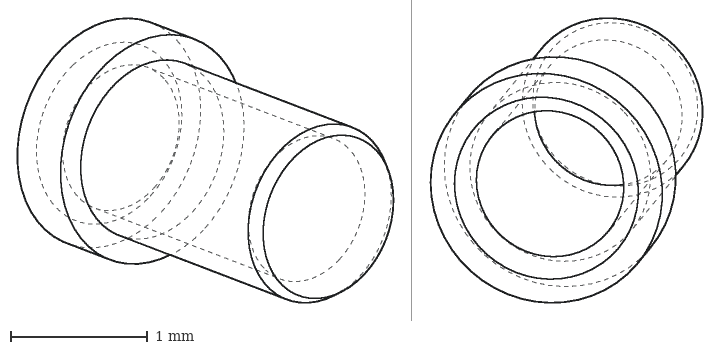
import cadquery as cq
import math

length = 2.54
head_diameter = 1.73
head_length = 0.5
shank_diameter = 1.35

tip_taper_length = 0.102
tip_taper_angle = 30.0

bore_diameter = 1.1
mouth_diameter = 1.372
floor_thickness = 0.255

head_radius = head_diameter / 2
shank_radius = shank_diameter / 2
bore_radius = bore_diameter / 2
mouth_radius = mouth_diameter / 2
tip_radius = shank_radius - tip_taper_length * math.tan(math.radians(tip_taper_angle))
bore_end = length - floor_thickness
mouth_depth = mouth_radius - bore_radius


def make_sleeve():
    """Headed sleeve with a conical mouth and a closed, tapered tip."""
    half_profile = (
        cq.Workplane("XY")
        .moveTo(0, mouth_radius)
        .lineTo(0, head_radius)
        .lineTo(head_length, head_radius)
        .lineTo(head_length, shank_radius)
        .lineTo(length - tip_taper_length, shank_radius)
        .lineTo(length, tip_radius)
        .lineTo(length, 0)
        .lineTo(bore_end, 0)
        .lineTo(bore_end, bore_radius)
        .lineTo(mouth_depth, bore_radius)
        .close()
    )
    return half_profile.revolve(360, (0, 0, 0), (1, 0, 0))


sleeve = make_sleeve()

result = cq.Compound.makeCompound([sleeve.val()])